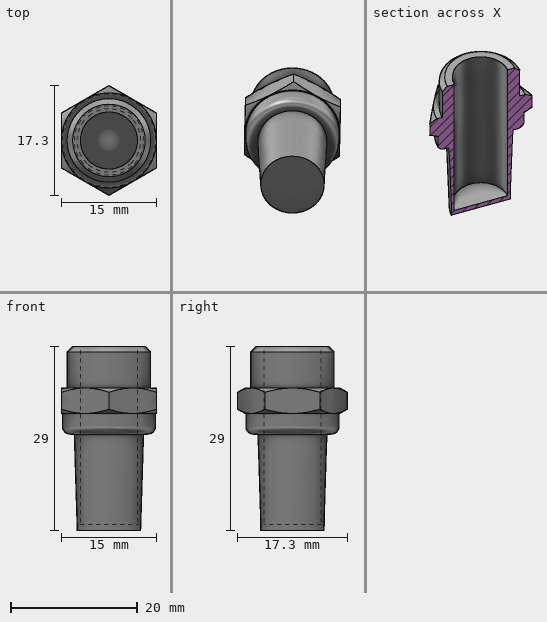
import cadquery as cq
import math

total_height = 29.0
spigot_height = 15.17
collar_height = 3.28
hex_height = 4.0
collar_bottom = spigot_height
hex_bottom = collar_bottom + collar_height
hex_top = hex_bottom + hex_height

hex_across_flats = 15.0
hex_across_corners = hex_across_flats / math.cos(math.radians(30))
hex_chamfer_angle = 30.0
collar_diameter = 14.7
collar_fillet = 1.25
neck_diameter = 13.17
neck_chamfer = 0.87
spigot_top_diameter = 10.93
spigot_bottom_diameter = 10.0
bore_diameter = 9.0
floor_thickness = 1.0


def cylinder(diameter, bottom, top):
    return cq.Workplane("XY").workplane(offset=bottom).circle(diameter / 2).extrude(top - bottom)


def tapered_spigot():
    """Solid tail, narrowing towards its free end."""
    return (
        cq.Workplane("XY")
        .circle(spigot_bottom_diameter / 2)
        .workplane(offset=spigot_height)
        .circle(spigot_top_diameter / 2)
        .loft(ruled=True)
    )


def chamfered_hexagon():
    """Hexagon with corners on the Y axis, coned at both ends."""
    flat_radius = hex_across_flats / 2
    corner_radius = hex_across_corners / 2
    corner_drop = (corner_radius - flat_radius) * math.tan(math.radians(hex_chamfer_angle))
    hexagon = (
        cq.Workplane("XY")
        .workplane(offset=hex_bottom)
        .transformed(rotate=(0, 0, 90))
        .polygon(6, hex_across_corners)
        .extrude(hex_height)
    )
    cone_envelope = (
        cq.Workplane("XZ")
        .moveTo(0, hex_bottom)
        .lineTo(flat_radius, hex_bottom)
        .lineTo(corner_radius, hex_bottom + corner_drop)
        .lineTo(corner_radius, hex_top - corner_drop)
        .lineTo(flat_radius, hex_top)
        .lineTo(0, hex_top)
        .close()
        .revolve(360, (0, 0, 0), (0, 1, 0))
    )
    return hexagon.intersect(cone_envelope)


collar = cylinder(collar_diameter, collar_bottom, hex_bottom).faces("<Z").edges().fillet(collar_fillet)
neck = cylinder(neck_diameter, hex_top, total_height).faces(">Z").edges().chamfer(neck_chamfer)

bore = cylinder(bore_diameter, floor_thickness, total_height)

result = tapered_spigot().union(collar).union(chamfered_hexagon()).union(neck).cut(bore)